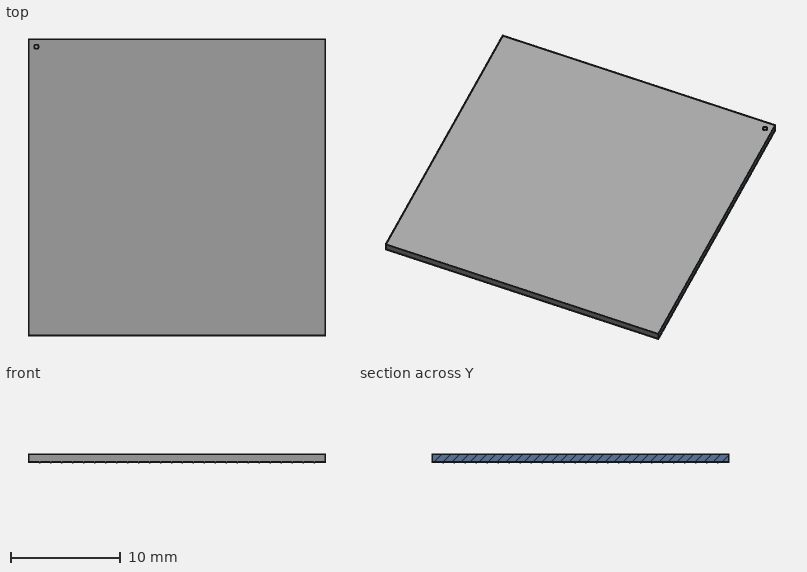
import cadquery as cq

body_side = 27.0
overall_height = 0.77
ball_protrusion = 0.045
body_thickness = overall_height - ball_protrusion

balls_per_side = 26
ball_pitch = 1.0
ball_diameter = 0.5

mark_diameter = 0.4
mark_depth = 0.1
mark_edge_distance = 0.7


def make_body():
    """Plate raised above Z = 0 by the height of the exposed ball tips."""
    return (
        cq.Workplane("XY")
        .workplane(offset=ball_protrusion)
        .rect(body_side, body_side)
        .extrude(body_thickness)
    )


def make_ball():
    """Sphere resting on Z = 0, turned from a half disc in the YZ plane."""
    ball_radius = ball_diameter / 2
    return (
        cq.Workplane("YZ")
        .moveTo(0, 0)
        .threePointArc((ball_radius, ball_radius), (0, ball_diameter))
        .close()
        .revolve(360, (0, 0), (0, 1))
        .val()
    )


def add_balls(body):
    """Ball grid joined to the body so that only the lowest tips stand out."""
    ball = make_ball()
    balls = (
        cq.Workplane("XY")
        .rarray(ball_pitch, ball_pitch, balls_per_side, balls_per_side)
        .eachpoint(lambda place: ball.moved(place), combine=False)
    )
    return body.union(balls, clean=False)


def cut_pin_one_mark(body):
    """Round recess near the -X, +Y corner of the top face."""
    mark_offset = body_side / 2 - mark_edge_distance
    mark = (
        cq.Workplane("XY")
        .workplane(offset=overall_height - mark_depth)
        .center(-mark_offset, mark_offset)
        .circle(mark_diameter / 2)
        .extrude(mark_depth)
    )
    return body.cut(mark)


body_with_balls = add_balls(make_body())
result = cut_pin_one_mark(body_with_balls)